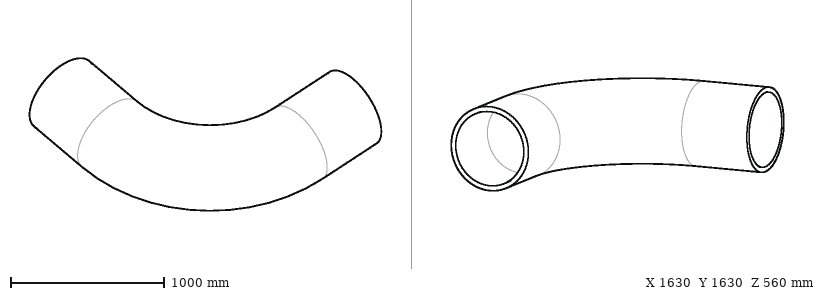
import cadquery as cq

overall_length = 1630.0
outer_diameter = 560.0
inner_diameter = 494.0
straight_length = 475.0

bend_radius = overall_length - straight_length - outer_diameter / 2


def swept_rod(diameter):
    """Solid rod: straight along +X, quarter bend, then straight along +Y."""
    profile = cq.Workplane("YZ").circle(diameter / 2)
    inlet = profile.extrude(straight_length)
    bend = (
        cq.Workplane("YZ", origin=(straight_length, 0, 0))
        .circle(diameter / 2)
        .revolve(90, (bend_radius, 0, 0), (bend_radius, 1, 0))
    )
    outlet = (
        cq.Workplane("XZ", origin=(straight_length + bend_radius, bend_radius, 0))
        .circle(diameter / 2)
        .extrude(-straight_length)
    )
    return inlet.union(bend).union(outlet)


result = swept_rod(outer_diameter).cut(swept_rod(inner_diameter))